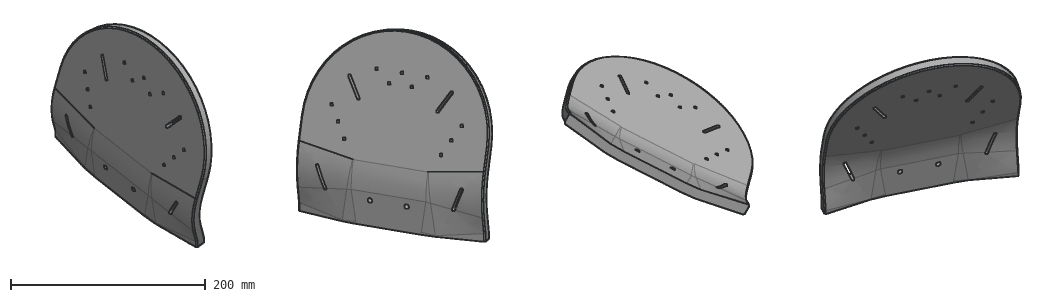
import cadquery as cq
import math

half_width = 104.8
thickness = 11.1
rim_chamfer = 1.5
lean = 18.1
arch_height = 102.9

fold_height = 53.9
fold_radius = 100.5
wing_sweep = 11.0
center_half_width = 42.0
center_bottom_half_width = 36.3
wing_bottom_start = 52.4
blend_top_width = 0.5
wing_foot_front = 9.5
wing_foot_back = 5.2
inner_foot_front = 1.7
inner_foot_back = 1.0
center_foot = 3.1

pin_diameter = 3.1
slot_width = 3.1
screw_diameter = 5.0
screw_position = (20.5, 28.7)
pin_positions = [(28.5, 60.8), (12.8, 48.2), (73.0, 17.0), (63.5, 0.5), (54.3, -16.1)]
center_pin_position = (0.0, 60.8)
upper_slot_ends = ((57.2, 49.0), (44.5, 27.7))
lower_slot_ends = ((80.9, 56.4), (71.9, 33.0))
cut_length = 83.8

lean_sin = math.sin(math.radians(lean))
lean_cos = math.cos(math.radians(lean))
lean_tan = lean_sin / lean_cos
arch_y = (arch_height - fold_height) * lean_tan


def tangent_length(sweep):
    """Distance from the sharp fold to either end of its front arc."""
    return fold_radius * math.tan(math.radians(lean + sweep) / 2)


def face_points(sweep, depth, foot):
    """(y, z) points on a face lying depth behind the front: top, arc middle, arc end, foot, bottom."""
    angle = math.radians(sweep)
    length = tangent_length(sweep)
    center_y = length * lean_sin + fold_radius * lean_cos
    center_z = fold_height + length * lean_cos - fold_radius * lean_sin
    radius = fold_radius - depth

    def on_arc(direction):
        return (center_y - radius * math.cos(direction), center_z + radius * math.sin(direction))

    top = on_arc(math.radians(lean))
    middle = on_arc((math.radians(lean) - angle) / 2)
    end = on_arc(-angle)
    foot_y = end[0] + (end[1] - foot) * math.tan(angle)
    return [top, middle, end, (foot_y, foot), (foot_y, 0.0)]


def skirt_section(x_top, x_bottom, taper_height, sweep, feet, inset, side):
    """Closed section of the skirt whose x runs from x_bottom at z = 0 to x_top at taper_height and above."""

    def place(point):
        y, z = point
        x = x_bottom + (x_top - x_bottom) * min(z / taper_height, 1.0)
        return cq.Vector(side * x, y, z)

    front = [place(p) for p in face_points(sweep, inset, feet[0])]
    back = [place(p) for p in face_points(sweep, thickness - inset, feet[1])]
    edges = [
        cq.Edge.makeThreePointArc(*front[:3]),
        cq.Edge.makeLine(front[2], front[3]),
        cq.Edge.makeLine(front[3], front[4]),
        cq.Edge.makeLine(front[4], back[4]),
        cq.Edge.makeLine(back[4], back[3]),
        cq.Edge.makeLine(back[3], back[2]),
        cq.Edge.makeThreePointArc(back[2], back[1], back[0]),
        cq.Edge.makeLine(back[0], front[0]),
    ]
    return cq.Wire.assembleEdges(edges)


def skirt():
    """Flat centre, fold blends, swept wings and chamfered sides as one ruled body."""
    rim_x = half_width - rim_chamfer
    blend_top = center_half_width + blend_top_width
    blend_sweep = wing_sweep * (wing_bottom_start - center_half_width) / (half_width - center_half_width) / 2
    blend_height = fold_height + tangent_length(blend_sweep) * lean_cos
    arc_end_height = fold_height - tangent_length(0.0)
    wing_feet = (wing_foot_front, wing_foot_back)
    inner_feet = (inner_foot_front, inner_foot_back)
    stations = [
        (half_width, half_width, blend_height, wing_sweep, wing_feet, rim_chamfer),
        (rim_x, rim_x, blend_height, wing_sweep, wing_feet, 0.0),
        (blend_top, wing_bottom_start, blend_height, blend_sweep, inner_feet, 0.0),
        (center_half_width, center_bottom_half_width, arc_end_height, 0.0, (center_foot, center_foot), 0.0),
    ]
    left = [skirt_section(*station, side=-1) for station in stations]
    right = [skirt_section(*station, side=1) for station in reversed(stations)]
    return cq.Workplane(obj=cq.Solid.makeLoft(left + right, True))


def plate_plane():
    """Front face of the upper plate, centred on the arch, with its normal pointing forward."""
    return cq.Workplane(
        cq.Plane(origin=(0, arch_y, arch_height), xDir=(1, 0, 0), normal=(0, -lean_cos, lean_sin))
    )


def upper_plate():
    fold_to_arch = (arch_height - fold_height) / lean_cos
    outer_v = tangent_length(wing_sweep) - fold_to_arch
    inner_v = tangent_length(0.0) - fold_to_arch
    plate = (
        plate_plane()
        .moveTo(-half_width, 0)
        .threePointArc((0, half_width), (half_width, 0))
        .lineTo(half_width, outer_v)
        .lineTo(center_half_width, inner_v)
        .lineTo(-center_half_width, inner_v)
        .lineTo(-half_width, outer_v)
        .close()
        .extrude(-thickness)
    )
    normal = cq.Vector(0, -lean_cos, lean_sin)
    rim_edges = [
        edge for edge in plate.edges().vals()
        if edge.geomType() == "CIRCLE"
        or (abs(abs(edge.Center().x) - half_width) < 2.1e-06 and abs(edge.tangentAt(0.5).dot(normal)) < 1e-6)
    ]
    return plate.newObject(rim_edges).chamfer(rim_chamfer)


def slot_cutters(workplane, ends):
    """Mirrored pair of round-ended slot cutters running both ways from the workplane."""
    (x1, v1), (x2, v2) = ends
    length = math.hypot(x2 - x1, v2 - v1) + slot_width
    angle = math.degrees(math.atan2(v2 - v1, x2 - x1))
    middle = ((x1 + x2) / 2, (v1 + v2) / 2)
    right = workplane.center(*middle).slot2D(length, slot_width, angle).extrude(cut_length / 2, both=True)
    return right.union(right.mirror("YZ"))


def mirrored(positions):
    return [(side * x, v) for x, v in positions for side in (-1, 1)]


def hole_cutters(workplane, positions, diameter):
    return workplane.pushPoints(positions).circle(diameter / 2).extrude(cut_length / 2, both=True)


upright = cq.Workplane("XZ")
result = upper_plate().union(skirt())
result = result.cut(hole_cutters(plate_plane(), mirrored(pin_positions) + [center_pin_position], pin_diameter))
result = result.cut(hole_cutters(upright, mirrored([screw_position]), screw_diameter))
result = result.cut(slot_cutters(plate_plane(), upper_slot_ends))
result = result.cut(slot_cutters(upright, lower_slot_ends))